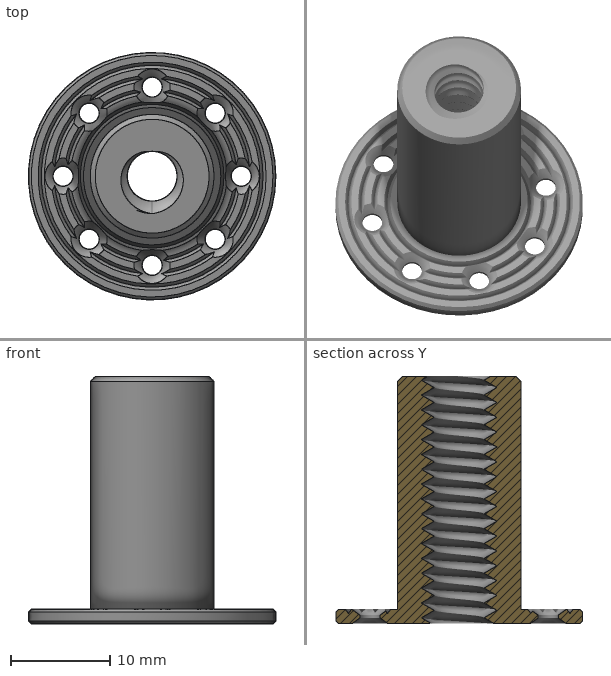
import cadquery as cq
import math

height = 25.0
flange_radius = 12.5
flange_thickness = 1.5
flange_chamfer = 0.3
post_radius = 6.25
post_chamfer = 0.5

groove_count = 4
groove_first_radius = 7.25
groove_last_radius = 11.2
groove_spacing = (groove_last_radius - groove_first_radius) / (groove_count - 1)
groove_width = 0.62
groove_depth = 0.4

hole_count = 8
hole_circle_radius = 9.0
hole_radius = 1.0
countersink_radius = 1.82
countersink_depth = 0.6

bore_radius = 2.5
thread_root_radius = 3.78
thread_pitch = 1.5
thread_angle = 60.0
cutter_overlap = 0.12


def make_body():
    """Flange and post turned as one profile, with 45 degree edge chamfers."""
    profile = (
        cq.Workplane("XZ")
        .moveTo(0, 0)
        .lineTo(flange_radius - flange_chamfer, 0)
        .lineTo(flange_radius, flange_chamfer)
        .lineTo(flange_radius, flange_thickness - flange_chamfer)
        .lineTo(flange_radius - flange_chamfer, flange_thickness)
        .lineTo(post_radius, flange_thickness)
        .lineTo(post_radius, height - post_chamfer)
        .lineTo(post_radius - post_chamfer, height)
        .lineTo(0, height)
        .close()
    )
    return profile.revolve(360, (0, 0, 0), (0, 1, 0))


def make_groove(radius):
    """Ring with a V section, open at the upper face of the flange."""
    section = (
        cq.Workplane("XZ")
        .moveTo(radius - groove_width / 2, flange_thickness)
        .lineTo(radius + groove_width / 2, flange_thickness)
        .lineTo(radius, flange_thickness - groove_depth)
        .close()
    )
    return section.revolve(360, (0, 0, 0), (0, 1, 0))


def make_countersunk_hole(angle):
    """Through hole countersunk from both faces, placed on the hole circle."""
    section = (
        cq.Workplane("XZ")
        .moveTo(0, 0)
        .lineTo(countersink_radius, 0)
        .lineTo(hole_radius, countersink_depth)
        .lineTo(hole_radius, flange_thickness - countersink_depth)
        .lineTo(countersink_radius, flange_thickness)
        .lineTo(0, flange_thickness)
        .close()
    )
    hole = section.revolve(360, (0, 0, 0), (0, 1, 0))
    return hole.translate((hole_circle_radius, 0, 0)).rotate((0, 0, 0), (0, 0, 1), angle)


def make_helix(radius, start_z):
    """One right-handed turn that starts and ends on the -Y side."""
    turn = cq.Wire.makeHelix(thread_pitch, thread_pitch, radius)
    turn = turn.rotate(cq.Vector(0, 0, 0), cq.Vector(0, 0, 1), -90)
    return turn.translate(cq.Vector(0, 0, start_z)).Edges()[0]


def make_thread_groove():
    """Helical V-groove that runs past both ends of the bore."""
    half_width = (thread_root_radius - bore_radius) * math.tan(math.radians(thread_angle / 2))
    section = [
        (bore_radius - cutter_overlap, -half_width),
        (bore_radius, -half_width),
        (thread_root_radius, 0),
        (bore_radius, half_width),
        (bore_radius - cutter_overlap, half_width),
    ]
    turn_count = math.ceil(height / thread_pitch) + 2
    end_z = height + thread_pitch
    start_z = end_z - turn_count * thread_pitch

    faces = []
    for turn in range(turn_count):
        turn_z = start_z + turn * thread_pitch
        helices = [make_helix(radius, turn_z + z) for radius, z in section]
        for index, helix in enumerate(helices):
            faces.append(cq.Face.makeRuledSurface(helices[index - 1], helix))
    for cap_z in (start_z, end_z):
        corners = [cq.Vector(0, -radius, cap_z + z) for radius, z in section]
        faces.append(cq.Face.makeFromWires(cq.Wire.makePolygon(corners, close=True)))
    return cq.Workplane(cq.Solid.makeSolid(cq.Shell.makeShell(faces)))


result = make_body()

for index in range(groove_count):
    result = result.cut(make_groove(groove_first_radius + index * groove_spacing))

for index in range(hole_count):
    result = result.cut(make_countersunk_hole(index * 360 / hole_count))

result = result.cut(cq.Workplane("XY").circle(bore_radius).extrude(height))
result = result.cut(make_thread_groove())